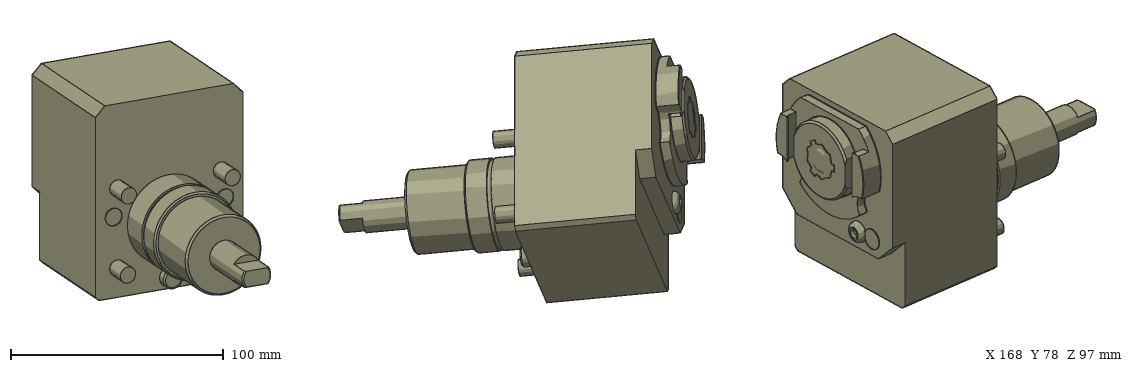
import cadquery as cq
import math


overall_length = 168.0

housing_length = 65.7
housing_width = 78.0
housing_top = 62.0
housing_bottom = -35.0
top_chamfer = 5.0
bottom_chamfer = 2.0
step_depth = 7.7
step_z = -8.9
step_chamfer = 10.0

spindle_z = 36.0
spindle_reach = 11.5
plate_radius = 31.0
plate_thickness = 5.0
plate_flat = 23.4
undercut_height = 0.5
undercut_inset = 0.2
scallop_radius = 9.2
scallop_y = 28.7
scallop_z = -17.1
lug_inner = 23.9
lug_top = 14.1
lug_lip = 0.8
lug_tip_chamfer = 0.3
lug_corner_radius = 0.8
nose_radius = 19.8
nose_flat = 18.1
nose_chamfer = 1.0
nose_bore_radius = 20.2
nose_bore_depth = 0.3

recess_depth = 0.3
recess_radius = 8.5
key_count = 3
key_reach = 10.2
key_width = 3.7
lobe_angle = 40
lobe_radius = 2.0
lobe_reach = 9.4
hub_radius = 6.4
hub_top_radius = 4.9

screw_y = -14.8
screw_radius = 5.4
screw_shoulder_radius = 4.9
screw_top_radius = 3.2
screw_height = 3.0
screw_shoulder_height = 1.8
socket_radius = 2.4
socket_depth = 2.0
pin_y = -24.5
pin_radius = 5.2
pin_height = 0.5

collar_radius = 22.0
shank_radius = 20.0
stem_radius = 7.5
collar_end = 27.9
collar_chamfer = 0.8
shank_end = 56.8
shank_chamfer = 1.0
stem_end = overall_length - spindle_reach - housing_length
stem_chamfer = 0.7
groove_start = 14.8
groove_width = 2.2
groove_radius = 20.5
seal_crown_radius = 21.5
seal_section_radius = groove_width / 2
flat_length = 11.3
flat_half_height = 4.0

rear_pin_radius = 4.0
rear_pin_y = 27.4
upper_pin_z = 19.8
upper_pin_length = 12.1
lower_pin_z = -20.2
lower_pin_length = 11.1
stop_radius = 5.0
stop_z = -28.9
stop_length = 4.5
stop_chamfer = 0.8
plug_radius = 4.4
plug_y = 29.4
plug_z = 5.7
plug_height = 0.5


def cylinder(x_start, x_end, radius, y=0, z=0):
    """Cylinder along X between two X positions."""
    return (
        cq.Workplane("YZ", origin=(x_start, y, z))
        .circle(radius)
        .extrude(x_end - x_start)
    )


def box(x_range, y_range, z_range):
    """Box given by its limits along each axis."""
    ranges = (x_range, y_range, z_range)
    size = [high - low for low, high in ranges]
    corner = tuple(low for low, high in ranges)
    return cq.Workplane("XY", origin=corner).box(*size, centered=False)


def make_housing():
    """Block with chamfered long edges and a front face cut back at the bottom."""
    half_width = housing_width / 2
    block = box((0, housing_length), (-half_width, half_width), (housing_bottom, housing_top))
    block = block.edges("|X and >Z").chamfer(top_chamfer)
    block = block.edges("|X and <Z").chamfer(bottom_chamfer)
    step = (
        cq.Workplane("YZ")
        .moveTo(-half_width, housing_bottom)
        .lineTo(half_width, housing_bottom)
        .lineTo(half_width, step_z + step_chamfer)
        .lineTo(half_width - step_chamfer, step_z)
        .lineTo(-half_width + step_chamfer, step_z)
        .lineTo(-half_width, step_z + step_chamfer)
        .close()
        .extrude(step_depth)
    )
    return block.cut(step)


def make_lug_blank(side):
    """Square-cornered lug on one side, with a lip along the inner edge of its tip."""
    scallop_top = spindle_z + scallop_z
    z_range = (scallop_top, spindle_z + lug_top)
    outer = side * plate_radius

    def slab(x_range, inner):
        return box(x_range, sorted((side * inner, outer)), z_range)

    body = slab((-spindle_reach, 0), lug_inner)
    lip = slab((-spindle_reach, -spindle_reach + lug_lip), lug_inner - lug_lip)
    inner_edges = "<Y" if side > 0 else ">Y"
    lip = lip.faces(inner_edges).edges("|X").edges(">Z").fillet(lug_corner_radius)
    return body.union(lip)


def make_plate_disc(height, inset):
    """Round disc with a top flat, drawn in by an inset."""
    radius = plate_radius - inset
    disc = cylinder(-height, 0, radius, z=spindle_z)
    below_flat = box(
        (-height, 0),
        (-radius, radius),
        (spindle_z - radius, spindle_z + plate_flat - inset),
    )
    return disc.intersect(below_flat)


def make_plate():
    """Flatted plate with an undercut at the housing, two lugs, two scallops and a nose bore."""
    lug_limit = cylinder(-spindle_reach, 0, plate_radius, z=spindle_z)
    lug_limit = lug_limit.faces("<X").chamfer(lug_tip_chamfer)
    plate = make_plate_disc(plate_thickness, 0)
    for side in (-1, 1):
        plate = plate.union(make_lug_blank(side).intersect(lug_limit))
    undercut = cylinder(-undercut_height, 0, plate_radius + undercut_inset, z=spindle_z)
    plate = plate.cut(undercut).union(make_plate_disc(undercut_height, undercut_inset))
    for side in (-1, 1):
        y = side * scallop_y
        z = spindle_z + scallop_z
        plate = plate.cut(cylinder(-spindle_reach, 0, scallop_radius, y, z))
        plate = plate.cut(cylinder(-undercut_height, 0, scallop_radius + undercut_inset, y, z))
    bore_floor = nose_bore_depth - plate_thickness
    return plate.cut(cylinder(-plate_thickness, bore_floor, nose_bore_radius, z=spindle_z))


def make_recess():
    """Shallow recess with long keys and short lobes around a conical hub."""
    start = -spindle_reach
    end = start + recess_depth
    recess = cylinder(start, end, recess_radius, z=spindle_z)
    key = box((start, end), (-key_reach, 0), (spindle_z - key_width / 2, spindle_z + key_width / 2))
    lobe_center = lobe_reach - lobe_radius
    axis_start = (0, 0, spindle_z)
    axis_end = (1, 0, spindle_z)
    for index in range(key_count):
        key_angle = index * 360 / key_count
        recess = recess.union(key.rotate(axis_start, axis_end, key_angle))
        for offset in (-lobe_angle, lobe_angle):
            angle = math.radians(180 + key_angle + offset)
            lobe_y = lobe_center * math.cos(angle)
            lobe_z = spindle_z + lobe_center * math.sin(angle)
            recess = recess.union(cylinder(start, end, lobe_radius, lobe_y, lobe_z))
    hub = (
        cq.Workplane("YZ", origin=(start, 0, spindle_z))
        .circle(hub_top_radius)
        .workplane(offset=recess_depth)
        .circle(hub_radius)
        .loft()
    )
    return recess.cut(hub)


def make_nose():
    """Spindle nose with two side flats and the lobed recess in its end."""
    nose = cylinder(-spindle_reach, 0, nose_radius, z=spindle_z).faces("<X").chamfer(nose_chamfer)
    between_flats = box(
        (-spindle_reach, 0),
        (-nose_flat, nose_flat),
        (spindle_z - nose_radius, spindle_z + nose_radius),
    )
    return nose.intersect(between_flats).cut(make_recess())


def make_screw():
    """Button-head screw with a round socket."""
    head = (
        cq.Workplane("XY")
        .lineTo(0, screw_radius)
        .threePointArc(
            (-screw_shoulder_height, screw_shoulder_radius),
            (-screw_height, screw_top_radius),
        )
        .lineTo(-screw_height, 0)
        .close()
        .revolve(360, (0, 0, 0), (1, 0, 0))
    )
    socket = cylinder(-screw_height, -screw_height + socket_depth, socket_radius)
    return head.cut(socket).translate((0, screw_y, 0))


def make_shank():
    """Stepped shank with a sealing ring in the collar and a flatted drive stem."""
    collar = cylinder(0, collar_end, collar_radius).faces(">X").chamfer(collar_chamfer)
    groove = cylinder(groove_start, groove_start + groove_width, collar_radius)
    groove = groove.cut(cylinder(groove_start, groove_start + groove_width, groove_radius))
    seal_center = seal_crown_radius - seal_section_radius
    seal = (
        cq.Workplane("XY", origin=(groove_start + groove_width / 2, 0, 0))
        .center(0, seal_center)
        .circle(seal_section_radius)
        .revolve(360, (0, -seal_center, 0), (1, -seal_center, 0))
    )
    body = cylinder(0, shank_end, shank_radius).faces(">X").chamfer(shank_chamfer)
    stem = cylinder(0, stem_end, stem_radius).faces(">X").chamfer(stem_chamfer)
    for z_range in ((flat_half_height, stem_radius), (-stem_radius, -flat_half_height)):
        stem = stem.cut(box((stem_end - flat_length, stem_end), (-stem_radius, stem_radius), z_range))
    shank = collar.cut(groove).union(seal).union(body).union(stem)
    return shank.translate((housing_length, 0, 0))


def make_rear_pins():
    """Locating pins, plugs and the chamfered stop on the rear face."""
    start = housing_length
    pins = cylinder(start, start + stop_length, stop_radius, z=stop_z).faces(">X").chamfer(stop_chamfer)
    studs = (
        (upper_pin_length, rear_pin_radius, rear_pin_y, upper_pin_z),
        (lower_pin_length, rear_pin_radius, rear_pin_y, lower_pin_z),
        (plug_height, plug_radius, plug_y, plug_z),
    )
    for length, radius, y, z in studs:
        for side in (-1, 1):
            pins = pins.add(cylinder(start, start + length, radius, side * y, z))
    return pins.combine()


result = make_housing()
result = result.union(make_plate())
result = result.union(make_nose())
result = result.union(make_screw())
result = result.union(cylinder(-pin_height, 0, pin_radius, y=pin_y))
result = result.union(make_shank())
result = result.union(make_rear_pins())